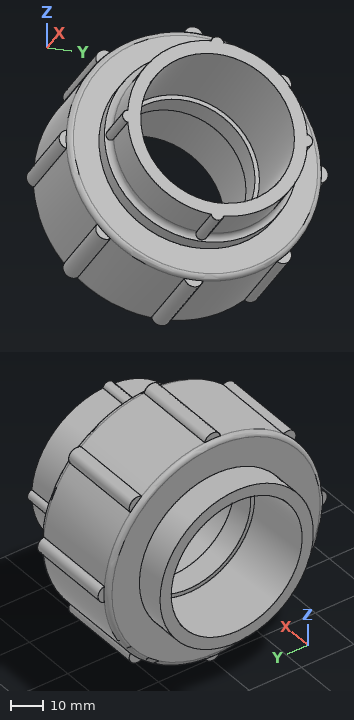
import cadquery as cq

LENGTH = 67.0
OUTER_RADIUS = 43.8

PIPE_RADIUS = 58.6 / 2
COLLAR_RADIUS = 62.9 / 2
COLLAR_END = 51.15
COLLAR_FILLET = COLLAR_RADIUS - PIPE_RADIUS

SOCKET_RADIUS = 50.0 / 2
STOP_RADIUS = 47.1 / 2
STOP_START = 24.8
STOP_END = 33.45

NUT_START = 10.8
NUT_END = 45.9
NUT_RADIUS = 41.5
NUT_FILLET = 1.75

GRIP_COUNT = 8
GRIP_RADIUS = 3.15
GRIP_START = NUT_START + NUT_FILLET
GRIP_END = NUT_END - NUT_FILLET

PIPE_RIB_COUNT = 4
PIPE_RIB_RADIUS = 2.1
PIPE_RIB_TOP = 30.9


def cylinder(radius, start, end):
    """Solid cylinder about the X axis between two X positions."""
    return cq.Workplane("YZ").workplane(offset=start).circle(radius).extrude(end - start)


def ribs(count, radius, top, start, end):
    """Ring of round bars parallel to X whose outermost points lie at the radius top."""
    return (
        cq.Workplane("YZ")
        .workplane(offset=start)
        .polarArray(top - radius, 0, 360, count)
        .circle(radius)
        .extrude(end - start)
    )


def collar():
    """Collar that runs down to the pipe end in a concave quarter round."""
    return (
        cq.Workplane("XY")
        .moveTo(NUT_START, 0)
        .lineTo(NUT_START, COLLAR_RADIUS)
        .lineTo(COLLAR_END, COLLAR_RADIUS)
        .radiusArc((COLLAR_END + COLLAR_FILLET, PIPE_RADIUS), -COLLAR_FILLET)
        .lineTo(COLLAR_END + COLLAR_FILLET, 0)
        .close()
        .revolve(360, (0, 0, 0), (1, 0, 0))
    )


nut = cylinder(NUT_RADIUS, NUT_START, NUT_END).edges().fillet(NUT_FILLET)
grips = ribs(GRIP_COUNT, GRIP_RADIUS, OUTER_RADIUS, GRIP_START, GRIP_END)
pipe_ribs = ribs(PIPE_RIB_COUNT, PIPE_RIB_RADIUS, PIPE_RIB_TOP, COLLAR_END, LENGTH)

outside = cylinder(PIPE_RADIUS, 0, LENGTH).union(collar()).union(nut).union(grips).union(pipe_ribs)

result = (
    outside
    .cut(cylinder(STOP_RADIUS, 0, LENGTH))
    .cut(cylinder(SOCKET_RADIUS, 0, STOP_START))
    .cut(cylinder(SOCKET_RADIUS, STOP_END, LENGTH))
)